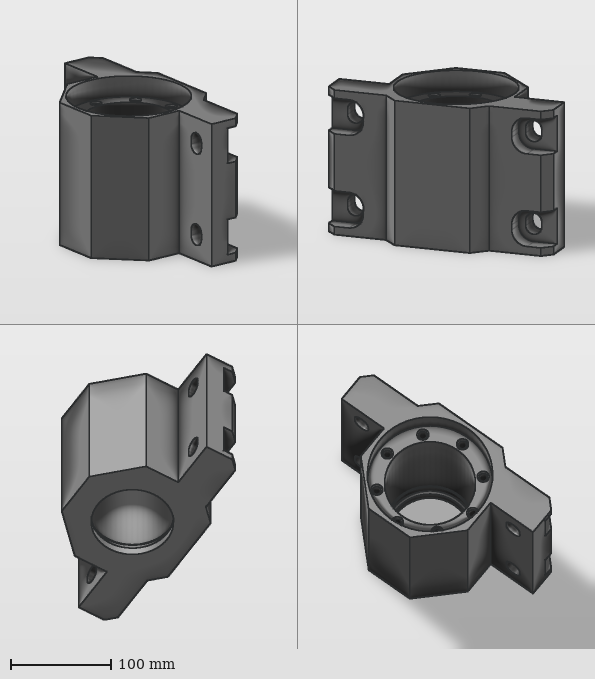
import cadquery as cq
import math

total_width = 240.0
body_size = 134.0
height = 150.0

front_chamfer = 41.0
rear_chamfer = 15.0
rear_flat_half = 40.0
ear_thickness = 40.0
ear_corner_chamfer = 9.8

flange_recess_diameter = 125.0
flange_recess_depth = 21.8
main_bore_diameter = 90.7
step_bore_diameter = 88.8
lip_bore_diameter = 82.0
lip_thickness = 10.0
step_bore_length = 10.0

screw_count = 8
screw_circle_diameter = 107.0
screw_hole_diameter = 8.5
screw_mouth_diameter = 11.8
screw_hole_depth = 24.0
drill_tip_angle = 118.0

slot_spacing_x = 190.0
slot_spacing_z = 96.0
slot_straight = 5.0
slot_width = 17.0
pocket_width = 32.0
pocket_depth = 19.7

half_width = total_width / 2
half_body = body_size / 2
ear_rear_y = half_body - rear_chamfer
ear_front_y = ear_rear_y - ear_thickness
recess_floor_z = height - flange_recess_depth


def mirrored_body():
    """Extruded outline of the octagonal body with an ear on each side."""
    right_half = [
        (0, -half_body),
        (half_body - front_chamfer, -half_body),
        (half_body, -half_body + front_chamfer),
        (half_body, ear_front_y),
        (half_width, ear_front_y),
        (half_width, ear_rear_y - ear_corner_chamfer),
        (half_width - ear_corner_chamfer, ear_rear_y),
        (rear_flat_half + rear_chamfer, ear_rear_y),
        (rear_flat_half, half_body),
        (0, half_body),
    ]
    half = cq.Workplane("XY").polyline(right_half).close().extrude(height)
    return half.union(half.mirror("YZ")).clean()


def bore_cutter():
    """Solid of revolution that clears the stepped bore and flange recess."""
    step_top_z = lip_thickness + step_bore_length
    profile = [
        (0, 0),
        (lip_bore_diameter / 2, 0),
        (lip_bore_diameter / 2, lip_thickness),
        (step_bore_diameter / 2, lip_thickness),
        (step_bore_diameter / 2, step_top_z),
        (main_bore_diameter / 2, step_top_z),
        (main_bore_diameter / 2, recess_floor_z),
        (flange_recess_diameter / 2, recess_floor_z),
        (flange_recess_diameter / 2, height),
        (0, height),
    ]
    return cq.Workplane("XZ").polyline(profile).close().revolve(360, (0, 0, 0), (0, 1, 0))


def screw_hole_cutters():
    """Ring of blind holes with a 45 degree mouth and a conical drill tip."""
    hole_radius = screw_hole_diameter / 2
    mouth_radius = screw_mouth_diameter / 2
    tip_length = hole_radius / math.tan(math.radians(drill_tip_angle / 2))
    profile = [
        (0, 0),
        (mouth_radius, 0),
        (hole_radius, hole_radius - mouth_radius),
        (hole_radius, -screw_hole_depth),
        (0, -screw_hole_depth - tip_length),
    ]
    hole = cq.Workplane("XZ").polyline(profile).close().revolve(360, (0, 0, 0), (0, 1, 0)).val()
    return (
        cq.Workplane("XY", origin=(0, 0, recess_floor_z))
        .polarArray(screw_circle_diameter / 2, 0, 360, screw_count)
        .eachpoint(lambda place: hole.moved(place), combine=False)
    )


def slot_cutter(side, z):
    """Through slot in one ear plus its rear pocket, open to the ear's outer end."""
    x = side * slot_spacing_x / 2
    run_out = half_width - slot_spacing_x / 2
    rear_face = cq.Workplane("XZ", origin=(x, ear_rear_y, z))
    slot = rear_face.slot2D(slot_width + slot_straight, slot_width, 90).extrude(ear_thickness)
    round_end = rear_face.slot2D(pocket_width + slot_straight, pocket_width, 90).extrude(pocket_depth)
    open_end = (
        rear_face.center(side * run_out / 2, 0)
        .rect(run_out, pocket_width + slot_straight)
        .extrude(pocket_depth)
    )
    return slot.union(round_end).union(open_end)


result = mirrored_body().cut(bore_cutter()).cut(screw_hole_cutters())
for side in (-1, 1):
    for z in ((height - slot_spacing_z) / 2, (height + slot_spacing_z) / 2):
        result = result.cut(slot_cutter(side, z))